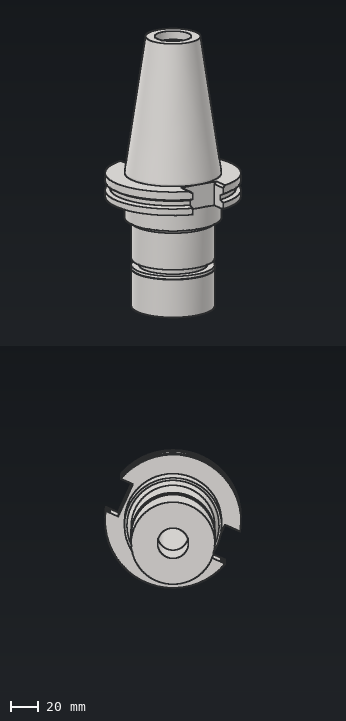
import cadquery as cq

total_height = 203.2
nut_height = 31.0
neck_top = 36.0
collar_cone_bottom = 63.5
flange_bottom = 82.5
flange_top = 100.2
gauge_height = 101.8

bore_radius = 11.2
neck_radius = 24.8
barrel_radius = 30.3
collar_radius = 35.2
flange_radius = 49.2
taper_large_radius = 35.0
taper_small_radius = 20.0

collar_cone_height = 3.0
shoulder_radius = barrel_radius + collar_cone_height

groove_radius = 45.7
groove_mouth_bottom = 87.4
groove_floor_bottom = 88.8
groove_floor_top = 92.3
groove_mouth_top = 94.0

counterbore_radius = 13.2
counterbore_depth = 6.3

slot_width = 26.0
slot_chamfer_width = 2.0
slot_chamfer_height = 1.6
left_slot_floor = 37.5
right_slot_floor = 35.4

recess_radius = 4.9
recess_depth = 0.5
recess_height = 90.6

rim_height = 2.0
rim_bevel_height = 0.6
rim_top_radius = 30.3
rim_bottom_radius = 30.7


def revolved(points):
    """Revolve a closed (radius, height) outline about the Z axis."""
    return cq.Workplane("XZ").polyline(points).close().revolve(360, (0, 0), (0, 1))


def drive_slot(floor_distance, side):
    """Radial slot cutter on the +X (side=1) or -X (side=-1) side, flared at the top."""
    half_width = slot_width / 2
    flared_half_width = half_width + slot_chamfer_width
    chamfer_bottom = flange_top - slot_chamfer_height
    outline = [
        (-half_width, flange_bottom),
        (half_width, flange_bottom),
        (half_width, chamfer_bottom),
        (flared_half_width, flange_top),
        (-flared_half_width, flange_top),
        (-half_width, chamfer_bottom),
    ]
    return (
        cq.Workplane("YZ", origin=(side * floor_distance, 0, 0))
        .polyline(outline)
        .close()
        .extrude(side * flange_radius)
    )


def make_holder():
    """Taper shank, grooved flange, collar, barrel and neck as one bored body."""
    holder = revolved([
        (bore_radius, nut_height),
        (neck_radius, nut_height),
        (neck_radius, neck_top),
        (barrel_radius, neck_top),
        (barrel_radius, collar_cone_bottom),
        (shoulder_radius, collar_cone_bottom + collar_cone_height),
        (collar_radius, collar_cone_bottom + collar_cone_height),
        (collar_radius, flange_bottom),
        (flange_radius, flange_bottom),
        (flange_radius, groove_mouth_bottom),
        (groove_radius, groove_floor_bottom),
        (groove_radius, groove_floor_top),
        (flange_radius, groove_mouth_top),
        (flange_radius, flange_top),
        (taper_large_radius, flange_top),
        (taper_large_radius, gauge_height),
        (taper_small_radius, total_height),
        (counterbore_radius, total_height),
        (counterbore_radius, total_height - counterbore_depth),
        (bore_radius, total_height - counterbore_depth),
    ])
    for floor_distance, side in ((left_slot_floor, -1), (right_slot_floor, 1)):
        holder = holder.cut(drive_slot(floor_distance, side))
    recess = (
        cq.Workplane("YZ", origin=(-left_slot_floor, 0, recess_height))
        .circle(recess_radius)
        .extrude(recess_depth)
    )
    return holder.cut(recess)


def make_nut():
    """Round clamping nut with a slightly raised rim, seated against the neck."""
    rim_bottom = nut_height - rim_height
    return revolved([
        (bore_radius, 0),
        (barrel_radius, 0),
        (barrel_radius, rim_bottom - rim_bevel_height),
        (rim_bottom_radius, rim_bottom),
        (rim_top_radius, nut_height),
        (bore_radius, nut_height),
    ])


holder = make_holder()
nut = make_nut()

result = cq.Compound.makeCompound([holder.val(), nut.val()])